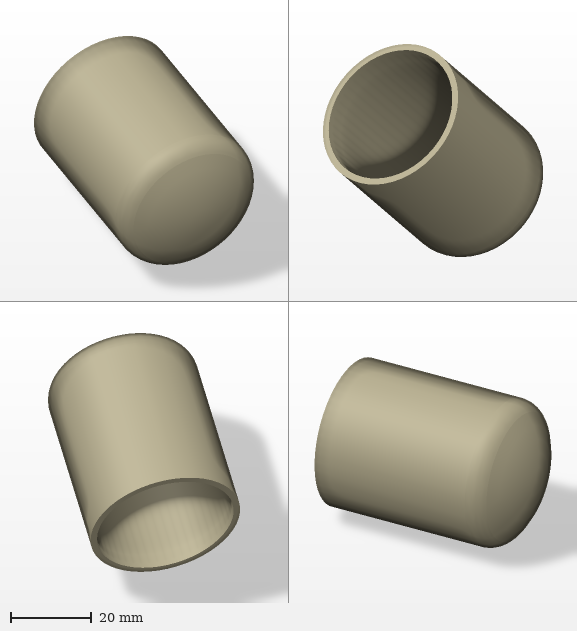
import cadquery as cq
import math

outer_diameter = 38.1
inner_diameter = 34.8
total_length = 52.22
straight_length = 42.25
knuckle_radius = 5.8

outer_radius = outer_diameter / 2
wall = (outer_diameter - inner_diameter) / 2

dome_height = total_length - straight_length
knuckle_center_radius = outer_radius - knuckle_radius
crown_offset = dome_height - knuckle_radius
center_distance = (knuckle_center_radius**2 + crown_offset**2) / (2 * crown_offset)
dome_radius = center_distance + knuckle_radius
dome_center_x = total_length - dome_radius
dome_half_angle = math.asin(knuckle_center_radius / center_distance)


def dome_point(radius, angle):
    """Point (x, r) on a circle about the dome centre, at an angle from the axis."""
    return (dome_center_x + radius * math.cos(angle), radius * math.sin(angle))


def knuckle_point(radius, angle):
    """Point (x, r) on a circle about the knuckle centre, at an angle from the axis."""
    return (
        straight_length + radius * math.cos(angle),
        knuckle_center_radius + radius * math.sin(angle),
    )


def solid_of_revolution(inset):
    """Solid bounded by the outer skin moved inward by the given inset."""
    dome = dome_radius - inset
    knuckle = knuckle_radius - inset
    knuckle_mid_angle = (dome_half_angle + math.pi / 2) / 2
    return (
        cq.Workplane("XY")
        .moveTo(0, 0)
        .lineTo(0, outer_radius - inset)
        .lineTo(straight_length, outer_radius - inset)
        .threePointArc(knuckle_point(knuckle, knuckle_mid_angle), dome_point(dome, dome_half_angle))
        .threePointArc(dome_point(dome, dome_half_angle / 2), dome_point(dome, 0))
        .close()
        .revolve(360, (0, 0, 0), (1, 0, 0))
    )


result = solid_of_revolution(0).cut(solid_of_revolution(wall))